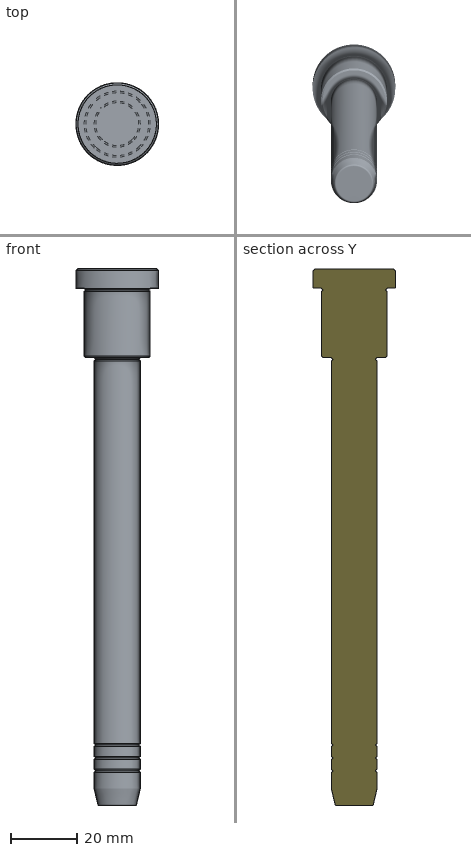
import cadquery as cq

total_length = 162.0
head_diameter = 25.0
head_height = 6.0
head_chamfer = 0.6
collar_diameter = 20.0
collar_length = 20.9
collar_chamfer = 0.5
shank_diameter = 14.0

groove_width = 1.0
groove_depth = groove_width / 2
groove_count = 3
groove_pitch = 3.9
lowest_groove_z = 10.5

tip_length = 5.2
tip_diameter = 11.5
tip_fillet = 0.5

head_bottom = total_length - head_height
collar_bottom = head_bottom - collar_length


def cylinder(diameter, bottom, height):
    return cq.Workplane("XY").workplane(offset=bottom).circle(diameter / 2).extrude(height)


def ring_groove(diameter, middle):
    """Ring that cuts a V groove into a cylinder of the given diameter."""
    surface = diameter / 2
    profile = [
        (surface, middle - groove_width / 2),
        (surface, middle + groove_width / 2),
        (surface - groove_depth, middle),
    ]
    return cq.Workplane("XZ").polyline(profile).close().revolve(360, (0, 0, 0), (0, 1, 0))


head = cylinder(head_diameter, head_bottom, head_height).faces(">Z").edges().chamfer(head_chamfer)
collar = cylinder(collar_diameter, collar_bottom, collar_length).faces("<Z").edges().chamfer(collar_chamfer)
shank = cylinder(shank_diameter, tip_length, collar_bottom - tip_length)

tip = (
    cq.Workplane("XY")
    .circle(tip_diameter / 2)
    .workplane(offset=tip_length)
    .circle(shank_diameter / 2)
    .loft(ruled=True)
    .faces("<Z")
    .edges()
    .fillet(tip_fillet)
)

collar = collar.cut(ring_groove(collar_diameter, head_bottom - groove_width / 2))
shank = shank.cut(ring_groove(shank_diameter, collar_bottom - groove_width / 2))

for index in range(groove_count):
    groove_z = lowest_groove_z + index * groove_pitch
    shank = shank.cut(ring_groove(shank_diameter, groove_z))

result = head.union(collar).union(shank).union(tip)